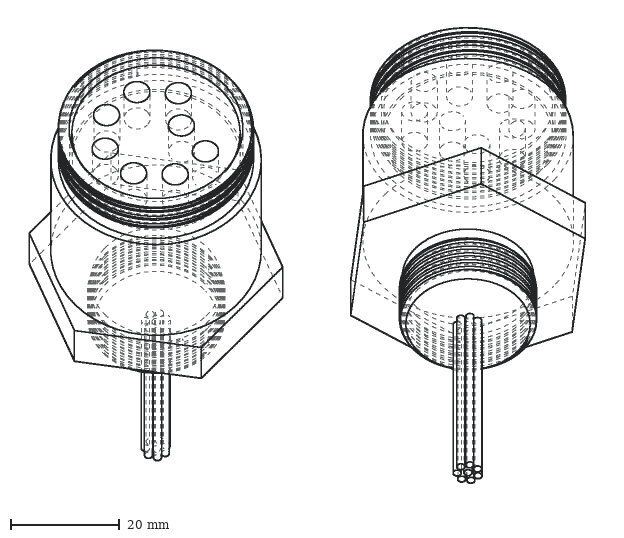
import cadquery as cq
import math

total_height = 100.7
wire_length = 40.0
stem_height = 12.7
hex_height = 9.7
collar_height = 9.8
body_height = total_height - wire_length - stem_height - hex_height - collar_height

hex_across_flats = 41.0
hex_across_corners = hex_across_flats / math.cos(math.pi / 6)
body_diameter = 38.8

collar_diameter = 36.0
collar_groove_pitch = 2.43
collar_groove_width = collar_groove_pitch / 2
collar_groove_depth = 0.35
collar_groove_start_below_top = 7.0
collar_groove_start_angle = 170.5

bore_diameter = 32.0
insert_diameter = 31.0
insert_setback = 1.6

hole_diameter = 4.8
hole_circle_radius = 10.0
key_hole_radius = 5.0
key_hole_angle = 90
hole_count = 8

neck_diameter = 24.25
neck_height = 2.4
shoulder_height = 0.7
stem_diameter = 25.3
stem_root_diameter = 23.84
stem_pitch = 1.814
stem_end_chamfer = 1.2
stem_groove_width = 0.8
stem_root_width = 0.05
stem_groove_start_below_end = 1.3

wire_diameter = 1.5
wire_circle_radius = 2.0
outer_wire_count = 7
first_wire_angle = 90

cut_margin = 0.3

body_bottom = hex_height
collar_bottom = body_bottom + body_height
collar_top = collar_bottom + collar_height
insert_top = collar_top - insert_setback


def cylinder(diameter, bottom, height):
    return cq.Workplane("XY").workplane(offset=bottom).circle(diameter / 2).extrude(height)


def helical_groove(surface_radius, depth, mouth_width, root_width, pitch, start_z, length):
    """Right-handed groove cutter that starts on +X, with a trapezoidal section."""
    flank_slope = (mouth_width - root_width) / 2 / depth
    outer_half = mouth_width / 2 + flank_slope * cut_margin
    root_half = root_width / 2
    root_radius = surface_radius - depth
    outer_radius = surface_radius + cut_margin
    helix = cq.Wire.makeHelix(pitch, length, surface_radius, cq.Vector(0, 0, start_z))
    section = (
        cq.Workplane("XZ")
        .moveTo(root_radius, start_z - root_half)
        .lineTo(outer_radius, start_z - outer_half)
        .lineTo(outer_radius, start_z + outer_half)
        .lineTo(root_radius, start_z + root_half)
        .close()
    )
    return section.sweep(cq.Workplane(helix), isFrenet=True)


def make_body():
    hexagon = cq.Workplane("XY").polygon(6, hex_across_corners).extrude(hex_height)
    return hexagon.union(cylinder(body_diameter, body_bottom, body_height))


def make_collar():
    start_z = collar_top - collar_groove_start_below_top
    groove = helical_groove(
        collar_diameter / 2,
        collar_groove_depth,
        collar_groove_width,
        collar_groove_width,
        collar_groove_pitch,
        start_z,
        collar_groove_start_below_top + collar_groove_pitch,
    )
    blank = cylinder(collar_diameter, collar_bottom, collar_height + 2 * collar_groove_pitch)
    envelope = cylinder(body_diameter, collar_bottom, collar_height)
    collar = blank.cut(groove).intersect(envelope)
    return collar.rotate((0, 0, 0), (0, 0, 1), collar_groove_start_angle)


def hollow_collar(part):
    """Leaves the drilled insert standing in the bore."""
    insert = cylinder(insert_diameter, collar_bottom, insert_top - collar_bottom)
    hole = cylinder(hole_diameter, collar_bottom, collar_height)
    for index in range(hole_count):
        angle = index * 360 / hole_count
        radius = key_hole_radius if angle == key_hole_angle else hole_circle_radius
        x = radius * math.cos(math.radians(angle))
        y = radius * math.sin(math.radians(angle))
        insert = insert.cut(hole.translate((x, y, 0)))
    return part.cut(cylinder(bore_diameter, collar_bottom, collar_height)).union(insert)


def make_stem():
    stem_radius = stem_diameter / 2
    neck_radius = neck_diameter / 2
    envelope = (
        cq.Workplane("XZ")
        .moveTo(0, 0)
        .lineTo(neck_radius, 0)
        .lineTo(neck_radius, -neck_height)
        .lineTo(stem_radius, -neck_height - shoulder_height)
        .lineTo(stem_radius, -stem_height + stem_end_chamfer)
        .lineTo(stem_radius - stem_end_chamfer, -stem_height)
        .lineTo(0, -stem_height)
        .close()
        .revolve(360, (0, 0, 0), (0, 1, 0))
    )
    start_z = -stem_height - stem_groove_start_below_end
    groove = helical_groove(
        stem_radius,
        (stem_diameter - stem_root_diameter) / 2,
        stem_groove_width,
        stem_root_width,
        stem_pitch,
        start_z,
        -neck_height - shoulder_height - start_z,
    )
    blank_bottom = start_z - stem_pitch
    blank = cylinder(stem_diameter, blank_bottom, -blank_bottom)
    return blank.cut(groove).intersect(envelope)


def add_wires(part):
    """One central wire with a ring of wires around it, hanging from the stem."""
    wire = cylinder(wire_diameter, -stem_height - wire_length, wire_length)
    part = part.union(wire)
    for index in range(outer_wire_count):
        angle = math.radians(first_wire_angle + index * 360 / outer_wire_count)
        x = wire_circle_radius * math.cos(angle)
        y = wire_circle_radius * math.sin(angle)
        part = part.union(wire.translate((x, y, 0)))
    return part


part = make_body().union(make_collar())
part = hollow_collar(part)
part = part.union(make_stem())
result = add_wires(part)